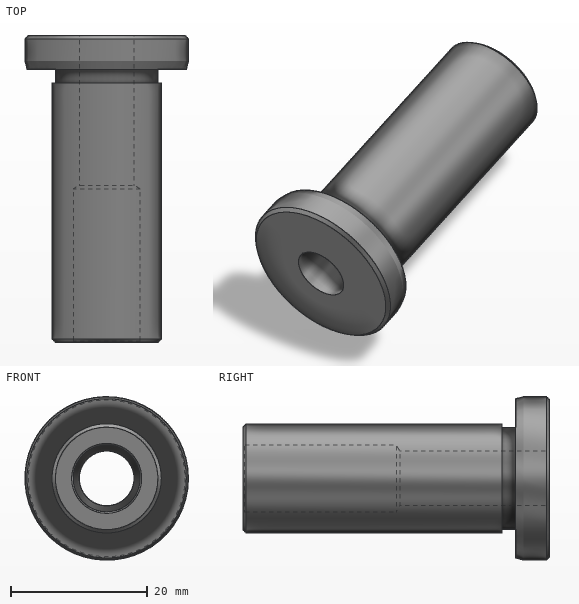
import cadquery as cq
import math

total_length = 45.0
head_diameter = 24.0
head_length = 5.0
head_rear_chamfer = 0.5
head_front_taper_length = 1.2
head_front_taper_depth = 0.3
neck_diameter = 15.0
neck_length = 2.0
shank_diameter = 16.0
shank_chamfer = 0.5
through_diameter = 8.0
counterbore_diameter = 9.8
counterbore_depth = 22.5
counterbore_chamfer = 0.22
step_cone_angle = 120.0

head_radius = head_diameter / 2
neck_radius = neck_diameter / 2
shank_radius = shank_diameter / 2
through_radius = through_diameter / 2
counterbore_radius = counterbore_diameter / 2
step_cone_length = (counterbore_radius - through_radius) / math.tan(math.radians(step_cone_angle / 2))
head_front = total_length - head_length
shank_end = head_front - neck_length


def outer_body():
    """Solid head, relief neck and shank, with the free end at Y = 0."""
    profile = [
        (0, 0),
        (shank_radius - shank_chamfer, 0),
        (shank_radius, shank_chamfer),
        (shank_radius, shank_end),
        (neck_radius, shank_end),
        (neck_radius, head_front),
        (head_radius - head_front_taper_depth, head_front),
        (head_radius, head_front + head_front_taper_length),
        (head_radius, total_length - head_rear_chamfer),
        (head_radius - head_rear_chamfer, total_length),
        (0, total_length),
    ]
    return cq.Workplane("XY").polyline(profile).close().revolve(360, (0, 0), (0, 1))


def stepped_bore():
    """Through hole with a chamfered counterbore from the free end and a conical step."""
    profile = [
        (0, 0),
        (counterbore_radius + counterbore_chamfer, 0),
        (counterbore_radius, counterbore_chamfer),
        (counterbore_radius, counterbore_depth),
        (through_radius, counterbore_depth + step_cone_length),
        (through_radius, total_length),
        (0, total_length),
    ]
    return cq.Workplane("XY").polyline(profile).close().revolve(360, (0, 0), (0, 1))


result = outer_body().cut(stepped_bore())